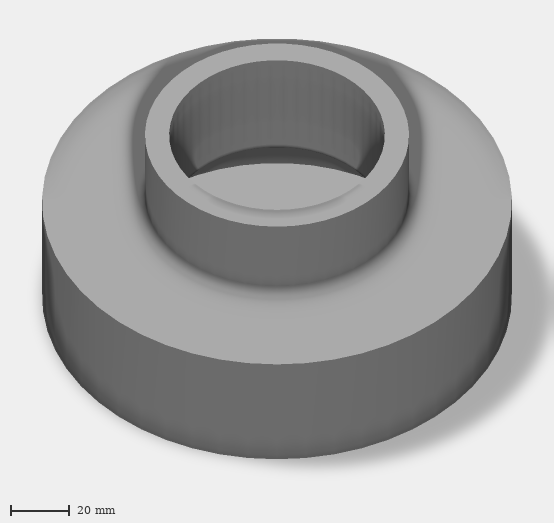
import cadquery as cq

flange_diameter = 160.0
flange_height = 44.8
total_height = 76.2
neck_diameter = 90.0
bore_diameter = 73.5
neck_root_radius = 3.2
recess_diameter = 130.7
recess_depth = 33.3
bore_mouth_radius = 3.2

flange = cq.Workplane("XY").circle(flange_diameter / 2).extrude(flange_height)
neck = cq.Workplane("XY").circle(neck_diameter / 2).extrude(total_height)
body = flange.union(neck)

flange_top = cq.selectors.NearestToPointSelector((0, 0, flange_height))
body = body.faces(flange_top).edges(cq.selectors.RadiusNthSelector(0)).fillet(neck_root_radius)

bore = cq.Workplane("XY").circle(bore_diameter / 2).extrude(total_height)
recess = cq.Workplane("XY").circle(recess_diameter / 2).extrude(recess_depth)

body = body.cut(bore).cut(recess)

mouth_box = cq.selectors.BoxSelector(
    (-bore_diameter, -bore_diameter, recess_depth - bore_mouth_radius),
    (bore_diameter, bore_diameter, recess_depth + bore_mouth_radius),
)
result = body.edges(mouth_box).edges(cq.selectors.RadiusNthSelector(0)).fillet(bore_mouth_radius)